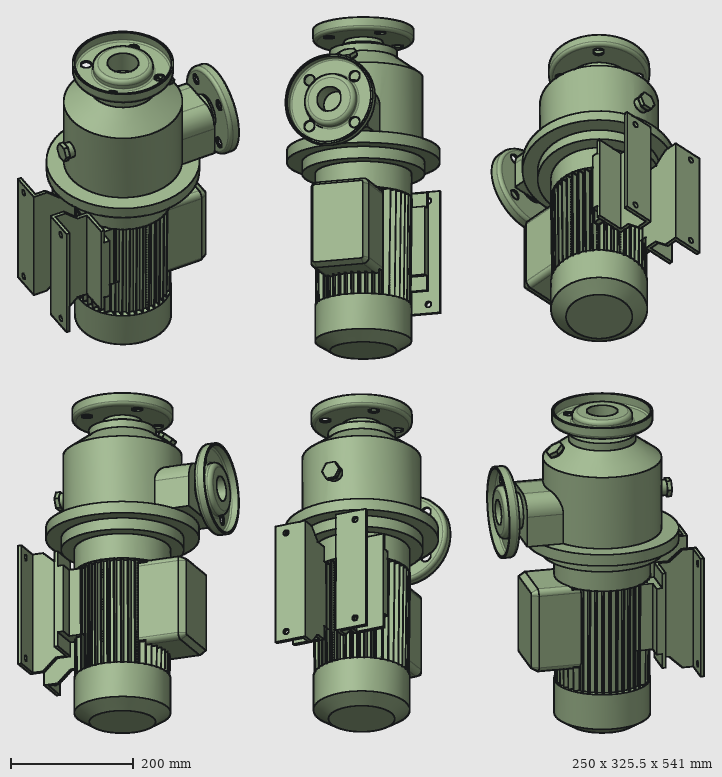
import cadquery as cq
import math


FAN_COVER_BEVEL_TOP = 15.5
FAN_COVER_TOP = 76.0
FINS_TOP = 256.0
MOTOR_NECK_TOP = 298.0
JOINT = 317.5
CASING_FLANGE_TOP = 337.0
CASING_WALL_TOP = 461.0
SHOULDER_TOP = 492.0
COLLAR_TOP = 505.0
SUCTION_FACE = 541.0

MOTOR_DIA = 157.5
FAN_COVER_END_DIA = 108.0
MOTOR_FLANGE_DIA = 200.0
FIN_ROOT_DIA = 137.5
FIN_TIP_DIA_LOW = 154.5
FIN_TIP_DIA_HIGH = 159.0
FIN_THICKNESS = 1.5
FINS_PER_SIDE = 10
FIN_PITCH_ANGLE = 360 / 44

TERMINAL_BOX_WIDTH = 99.5
TERMINAL_BOX_BOTTOM = 113.0
TERMINAL_BOX_TOP = 257.0
TERMINAL_BOX_REACH = 130.5
TERMINAL_BOX_CORNER = 10.0
TERMINAL_LID_DEPTH = 11.5
TERMINAL_LID_INSET = 6.5

SHEET = 6.0
FOOT_INNER_X = 28.0
FOOT_OUTER_X = 82.0
FOOT_BASE_Y = -150.5
FOOT_SEAT_Y = -80.0
FOOT_BASE_BOTTOM = 94.0
FOOT_BASE_TOP = 299.0
FOOT_SEAT_BOTTOM = 115.0
FOOT_SEAT_TOP = 279.5
FOOT_TAPER_START_Y = -103.5
FOOT_TAPER_END_Y = -126.0
FOOT_HOLE_DIA = 10.0
FOOT_HOLE_X = 63.0
FOOT_HOLE_INSET = 15.0

PAD_BOTTOM = 139.5
PAD_TOP = 254.0
PAD_RIB_OUTER_X = 57.5
PAD_PLATE_THICKNESS = 10.0

CASING_FLANGE_DIA = 250.0
CASING_DIA = 193.5
COLLAR_DIA = 110.0

DISCHARGE_Z = 380.5
DISCHARGE_FACE = 175.0
DISCHARGE_BLOCK_END = 140.0
DISCHARGE_BLOCK_WIDTH = 110.5
DISCHARGE_BLOCK_TOP = 419.5
DISCHARGE_BLOCK_CORNER = 30.5

DISH_WALL = 3.0
DISH_OUTER_ROUND = 6.0
DISH_INNER_ROUND = 2.5
RAISED_FACE_ROUND = 7.5
BOLT_COUNT = 4
FIRST_BOLT_ANGLE = 45
BOLT_HOLE_DIA = 18.0

PLUG_ACROSS_FLATS = 27.0
PLUG_HEAD_THICKNESS = 7.5
PLUG_SHANK_DIA = 26.0
DRAIN_PLUG_Z = 397.5
DRAIN_SHANK_LENGTH = 10.0
VENT_SHANK_LENGTH = 1.0


def disc(diameter, bottom, top):
    return cq.Workplane("XY").workplane(offset=bottom).circle(diameter / 2).extrude(top - bottom)


def cone(bottom_diameter, top_diameter, bottom, top):
    lower = cq.Workplane("XY").workplane(offset=bottom).circle(bottom_diameter / 2)
    return lower.workplane(offset=top - bottom).circle(top_diameter / 2).loft()


def block(x_range, y_range, z_range):
    """Box between the two limits given for each axis."""
    lows, highs = zip(x_range, y_range, z_range)
    sizes = [high - low for low, high in zip(lows, highs)]
    return cq.Workplane("XY").box(*sizes, centered=False).translate(lows)


def cooling_fins():
    """Straight parallel fins on all four sides, each a plate with drafted flat tips."""
    fins = cq.Workplane("XY")
    for index in range(FINS_PER_SIDE):
        angle = math.radians((index - (FINS_PER_SIDE - 1) / 2) * FIN_PITCH_ANGLE)
        offset = FIN_TIP_DIA_HIGH / 2 * math.sin(angle)
        outer_face = abs(offset) + FIN_THICKNESS / 2
        low_reach = math.sqrt((FIN_TIP_DIA_LOW / 2) ** 2 - outer_face**2)
        high_reach = math.sqrt((FIN_TIP_DIA_HIGH / 2) ** 2 - outer_face**2)
        fin_outline = [
            (-low_reach, FAN_COVER_TOP),
            (low_reach, FAN_COVER_TOP),
            (high_reach, FINS_TOP),
            (-high_reach, FINS_TOP),
        ]
        plate = cq.Workplane("YZ", origin=(offset, 0, 0)).polyline(fin_outline).close()
        fin = plate.extrude(FIN_THICKNESS / 2, both=True)
        fins = fins.union(fin).union(fin.rotate((0, 0, 0), (0, 0, 1), 90))
    return fins


def terminal_box():
    """Rounded box on the +Y side with a bevelled lid."""
    height = TERMINAL_BOX_TOP - TERMINAL_BOX_BOTTOM
    centre_z = (TERMINAL_BOX_TOP + TERMINAL_BOX_BOTTOM) / 2
    lid_start = TERMINAL_BOX_REACH - TERMINAL_LID_DEPTH

    def outline(inset):
        sketch = cq.Sketch().rect(TERMINAL_BOX_WIDTH - 2 * inset, height - 2 * inset)
        return sketch.vertices().fillet(TERMINAL_BOX_CORNER - inset)

    start = cq.Workplane("XZ", origin=(0, 0, centre_z))
    walls = start.placeSketch(outline(0)).extrude(-lid_start)
    lid_base = cq.Workplane("XZ", origin=(0, lid_start, centre_z))
    lid_end = outline(TERMINAL_LID_INSET).moved(cq.Location(cq.Vector(0, 0, -TERMINAL_LID_DEPTH)))
    lid = lid_base.placeSketch(outline(0), lid_end).loft()
    return walls.union(lid)


def mounting_pad():
    """Cast pad on the -Y, +X side: a rib out of the core and a plate that carries the foot."""
    plate_y = FOOT_SEAT_Y + PAD_PLATE_THICKNESS
    heights = (PAD_BOTTOM, PAD_TOP)
    rib = block((FOOT_INNER_X, PAD_RIB_OUTER_X), (plate_y, 0), heights)
    plate = block((FOOT_INNER_X, FOOT_OUTER_X), (FOOT_SEAT_Y, plate_y), heights)
    return rib.union(plate)


def foot():
    """Sheet channel on the +X side: seat flange, tapered web and base flange with two holes."""
    seat = block(
        (FOOT_INNER_X, FOOT_OUTER_X), (FOOT_SEAT_Y - SHEET, FOOT_SEAT_Y), (FOOT_SEAT_BOTTOM, FOOT_SEAT_TOP)
    )
    web_outline = [
        (FOOT_SEAT_Y, FOOT_SEAT_BOTTOM),
        (FOOT_TAPER_START_Y, FOOT_SEAT_BOTTOM),
        (FOOT_TAPER_END_Y, FOOT_BASE_BOTTOM),
        (FOOT_BASE_Y, FOOT_BASE_BOTTOM),
        (FOOT_BASE_Y, FOOT_BASE_TOP),
        (FOOT_TAPER_END_Y, FOOT_BASE_TOP),
        (FOOT_TAPER_START_Y, FOOT_SEAT_TOP),
        (FOOT_SEAT_Y, FOOT_SEAT_TOP),
    ]
    web = cq.Workplane("YZ", origin=(FOOT_INNER_X, 0, 0)).polyline(web_outline).close().extrude(SHEET)
    base = block(
        (FOOT_INNER_X, FOOT_OUTER_X), (FOOT_BASE_Y, FOOT_BASE_Y + SHEET), (FOOT_BASE_BOTTOM, FOOT_BASE_TOP)
    )
    hole_places = [
        (FOOT_HOLE_X, FOOT_BASE_BOTTOM + FOOT_HOLE_INSET),
        (FOOT_HOLE_X, FOOT_BASE_TOP - FOOT_HOLE_INSET),
    ]
    hole_start = cq.Workplane("XZ", origin=(0, FOOT_BASE_Y, 0))
    holes = hole_start.pushPoints(hole_places).circle(FOOT_HOLE_DIA / 2).extrude(-SHEET)
    return seat.union(web).union(base.cut(holes))


def build_motor():
    motor = cone(FAN_COVER_END_DIA, MOTOR_DIA, 0, FAN_COVER_BEVEL_TOP)
    motor = motor.union(disc(MOTOR_DIA, FAN_COVER_BEVEL_TOP, FAN_COVER_TOP))
    motor = motor.union(disc(FIN_ROOT_DIA, FAN_COVER_TOP, FINS_TOP))
    motor = motor.union(disc(MOTOR_DIA, FINS_TOP, MOTOR_NECK_TOP))
    motor = motor.union(disc(MOTOR_FLANGE_DIA, MOTOR_NECK_TOP, JOINT))
    motor = motor.union(cooling_fins())
    motor = motor.union(terminal_box())
    support = mounting_pad().union(foot())
    return motor.union(support).union(support.mirror("YZ"))


def nozzle(flange_dia, flange_height, raised_face_dia, bolt_circle_dia, neck_dia, neck_end_dia,
           neck_taper, length, bore_dia):
    """Nozzle along Z with its flange face at Z = 0 and its neck reaching down to Z = -length."""
    dish = disc(flange_dia, -flange_height, 0).faces("<Z").edges().fillet(DISH_OUTER_ROUND)
    floor = DISH_WALL - flange_height
    raised_face = disc(raised_face_dia, floor, 0).faces(">Z").edges().fillet(RAISED_FACE_ROUND)
    recess = disc(flange_dia - 2 * DISH_WALL, floor, 0).cut(raised_face)
    recess = recess.faces("<Z").edges().fillet(DISH_INNER_ROUND)
    taper_start = -flange_height - neck_taper
    neck = cone(neck_dia, neck_end_dia, taper_start, -flange_height)
    neck = neck.union(disc(neck_dia, -length, taper_start))
    bolts = cq.Workplane("XY").polarArray(bolt_circle_dia / 2, FIRST_BOLT_ANGLE, 360, BOLT_COUNT)
    bolt_holes = bolts.circle(BOLT_HOLE_DIA / 2).extrude(-flange_height)
    return dish.cut(recess).cut(bolt_holes).union(neck), disc(bore_dia, -length, 0)


def suction_nozzle():
    parts = nozzle(
        flange_dia=164.5, flange_height=20.0, raised_face_dia=98.5, bolt_circle_dia=125.0, neck_dia=70.0,
        neck_end_dia=63.0, neck_taper=8.0, length=SUCTION_FACE - COLLAR_TOP, bore_dia=51.0,
    )
    return [part.translate((0, 0, SUCTION_FACE)) for part in parts]


def discharge_nozzle():
    parts = nozzle(
        flange_dia=150.5, flange_height=18.0, raised_face_dia=87.5, bolt_circle_dia=110.0, neck_dia=60.0,
        neck_end_dia=56.0, neck_taper=4.5, length=DISCHARGE_FACE - DISCHARGE_BLOCK_END, bore_dia=41.0,
    )
    return [
        part.rotate((0, 0, 0), (1, 0, 0), -90).translate((0, DISCHARGE_FACE, DISCHARGE_Z)) for part in parts
    ]


def discharge_block():
    """Straight-sided outlet with rounded upper edges, from the shaft axis to the discharge neck."""
    block_body = block(
        (-DISCHARGE_BLOCK_WIDTH / 2, DISCHARGE_BLOCK_WIDTH / 2),
        (0, DISCHARGE_BLOCK_END),
        (CASING_FLANGE_TOP, DISCHARGE_BLOCK_TOP),
    )
    return block_body.edges("|Y and >Z").fillet(DISCHARGE_BLOCK_CORNER)


def hex_plug(shank_length, sunk_length):
    """Plug along Z that stands on Z = 0, with its shank sunk below it."""
    shank = disc(PLUG_SHANK_DIA, -sunk_length, shank_length)
    across_corners = PLUG_ACROSS_FLATS / math.cos(math.radians(30))
    head_start = cq.Workplane("XY").workplane(offset=shank_length)
    return shank.union(head_start.polygon(6, across_corners).extrude(PLUG_HEAD_THICKNESS))


def drain_plug():
    """Plug on the -Y side of the casing wall."""
    plug = hex_plug(DRAIN_SHANK_LENGTH, PLUG_SHANK_DIA / 2)
    return plug.rotate((0, 0, 0), (1, 0, 0), 90).translate((0, -CASING_DIA / 2, DRAIN_PLUG_Z))


def vent_plug():
    """Plug square to the sloping shoulder, halfway up it on the +Y side."""
    rise = SHOULDER_TOP - CASING_WALL_TOP
    run = (CASING_DIA - COLLAR_DIA) / 2
    tilt = math.degrees(math.atan2(rise, run))
    middle_y = (CASING_DIA + COLLAR_DIA) / 4
    middle_z = (SHOULDER_TOP + CASING_WALL_TOP) / 2
    plug = hex_plug(VENT_SHANK_LENGTH, PLUG_SHANK_DIA / 2)
    return plug.rotate((0, 0, 0), (1, 0, 0), -tilt).translate((0, middle_y, middle_z))


def build_casing():
    casing = disc(CASING_FLANGE_DIA, JOINT, CASING_FLANGE_TOP)
    casing = casing.union(disc(CASING_DIA, CASING_FLANGE_TOP, CASING_WALL_TOP))
    casing = casing.union(cone(CASING_DIA, COLLAR_DIA, CASING_WALL_TOP, SHOULDER_TOP))
    casing = casing.union(disc(COLLAR_DIA, SHOULDER_TOP, COLLAR_TOP))
    casing = casing.union(discharge_block())
    casing = casing.union(drain_plug()).union(vent_plug())
    for body, bore in (suction_nozzle(), discharge_nozzle()):
        casing = casing.union(body).cut(bore)
    return casing


motor = build_motor()
casing = build_casing()
result = cq.Compound.makeCompound([motor.val(), casing.val()])